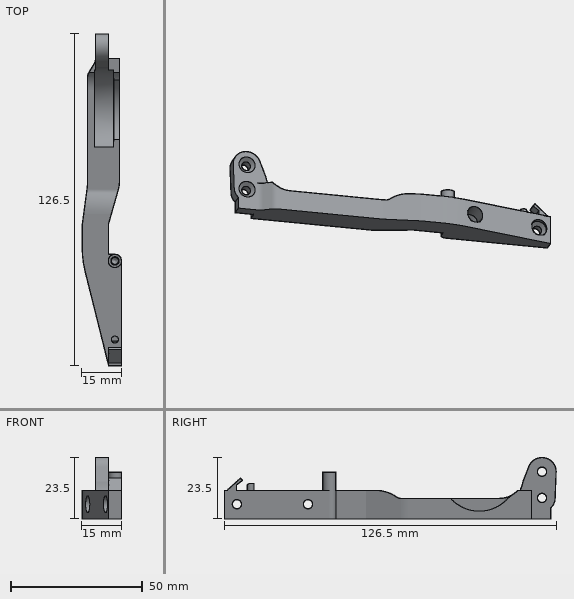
import cadquery as cq
import math

LENGTH = 126.5
WIDTH = 15.0
BODY_HEIGHT = 11.0
WAIST_HEIGHT = 8.0
TOTAL_HEIGHT = 23.5
TIP_WIDTH = 4.9
TIP_X = WIDTH - TIP_WIDTH
CLEARANCE = 1.3

FOOT_END_Y = 124.5
SHOULDER_Y = 117.1
REAR_LEFT_X = 2.0
REAR_RIGHT_X = 14.3
SHOULDER_SLANT_START_Y = 115.9
SHOULDER_SLANT_END_Y = 110.8
SHOULDER_FILLET = 3.8
LEFT_KINK_Y = 68.5
LEFT_BULGE_Y = 53.5
TAPER_START_Y = 40.5
TAPER_BLEND = 38.0
LEFT_KINK_BLEND = 17.7
NOTCH_BEND_Y = 54.0
RIGHT_KINK_Y = 68.7
KINK_BLEND = 10.1

LUG_X = 5.0
LUG_THICKNESS = 5.0
LUG_RADIUS = 5.5
LUG_FOOT_RADIUS = 5.0
LUG_EDGE_Z = 14.2
SCREW_Y = LENGTH - LUG_RADIUS
UPPER_SCREW_Z = TOTAL_HEIGHT - LUG_RADIUS
SCREW_SPACING = 10.0
LOWER_SCREW_Z = UPPER_SCREW_Z - SCREW_SPACING

SCREW_DIAMETER = 3.4
HEAD_DIAMETER = 6.3
ARM_SCREW_Z = 5.7
ARM_SCREW_YS = (4.8, 31.9)
ARM_SEAT_X = 10.8

WAIST_REAR_Y = 105.0
REAR_RAMP_LENGTH = 6.8
WAIST_FRONT_Y = 67.2
FRONT_FILLET_LENGTH = 1.5
FRONT_RAMP_END_Y = 57.8

WHEEL_Y = 97.1
WHEEL_Z = 17.7
WHEEL_RADIUS = 17.0
WHEEL_LEFT_X = 4.7
WHEEL_RIGHT_X = 11.9
SCALLOP_RADIUS = 14.7
RIM_RADIUS = 15.0
RIM_WIDTH = 0.4
SCALLOP_X = WHEEL_RIGHT_X + RIM_WIDTH

PIN_DIAMETER = 5.0
PIN_RADIUS = PIN_DIAMETER / 2
PIN_X = WIDTH - PIN_RADIUS
PIN_Y = 40.0
PIN_TOP_Z = 18.0
PIN_BORE = 2.7
PIN_BORE_MOUTH = 3.2
PIN_BORE_DEPTH = 7.0
DRILL_TIP_ANGLE = 118
STOP_DIAMETER = 2.7
STOP_Y = 10.0
STOP_TOP_Z = 13.7
STOP_CHAMFER = 0.8
HOOK_START_Y = 1.0
HOOK_BACK_Y = 4.7
HOOK_UNDERSIDE_Z = 13.0
HOOK_PEAK = (6.2, 15.7)
HOOK_POINT = (7.0, 14.8)


def along_x(start, end):
    """Work plane with local axes Y and Z, and the length to extrude along X."""
    return cq.Workplane("YZ", origin=(start, 0, 0)), end - start


def disc(radius, y, z, start, end):
    """Cylinder along X."""
    plane, length = along_x(start, end)
    return plane.center(y, z).circle(radius).extrude(length)


def slab(points, start, end):
    """Prism along X over an outline of (Y, Z) points."""
    plane, length = along_x(start, end)
    return plane.polyline(points).close().extrude(length)


def arm_block():
    """Full-height arm: the plan outline with its corners blended."""
    notch_y = PIN_Y + PIN_RADIUS
    outline = [
        (TIP_X, 0), (WIDTH, 0), (WIDTH, notch_y), (TIP_X, notch_y),
        (TIP_X, NOTCH_BEND_Y), (REAR_RIGHT_X, RIGHT_KINK_Y), (REAR_RIGHT_X, SHOULDER_Y),
        (LUG_X, SHOULDER_Y), (LUG_X, SHOULDER_SLANT_START_Y), (REAR_LEFT_X, SHOULDER_SLANT_END_Y),
        (REAR_LEFT_X, LEFT_KINK_Y), (0, LEFT_BULGE_Y), (0, TAPER_START_Y),
    ]
    block = cq.Workplane("XY").polyline(outline).close().extrude(BODY_HEIGHT)
    blends = (
        (WIDTH, notch_y, PIN_RADIUS),
        (REAR_RIGHT_X, RIGHT_KINK_Y, KINK_BLEND),
        (LUG_X, SHOULDER_SLANT_START_Y, SHOULDER_FILLET),
        (REAR_LEFT_X, SHOULDER_SLANT_END_Y, SHOULDER_FILLET),
        (REAR_LEFT_X, LEFT_KINK_Y, LEFT_KINK_BLEND),
        (0, LEFT_BULGE_Y, KINK_BLEND),
        (0, TAPER_START_Y, TAPER_BLEND),
    )
    for x, y, radius in blends:
        corner = cq.selectors.NearestToPointSelector((x, y, BODY_HEIGHT / 2))
        block = block.edges("|Z").edges(corner).fillet(radius)
    return block


def waist_cut():
    """Region above the lowered waist, with a round ramp up to the full height at both ends."""
    front_slope = (BODY_HEIGHT - WAIST_HEIGHT) / (WAIST_FRONT_Y - FRONT_RAMP_END_Y)
    blend = (WAIST_FRONT_Y - FRONT_FILLET_LENGTH, WAIST_HEIGHT + FRONT_FILLET_LENGTH * front_slope)
    rear_y = WAIST_REAR_Y + REAR_RAMP_LENGTH
    plane, length = along_x(0, WIDTH)
    return (
        plane.moveTo(FRONT_RAMP_END_Y - CLEARANCE, BODY_HEIGHT)
        .lineTo(FRONT_RAMP_END_Y, BODY_HEIGHT)
        .tangentArcPoint(blend, relative=False)
        .tangentArcPoint((WAIST_FRONT_Y, WAIST_HEIGHT), relative=False)
        .lineTo(WAIST_REAR_Y, WAIST_HEIGHT)
        .tangentArcPoint((rear_y, BODY_HEIGHT), relative=False)
        .lineTo(rear_y, BODY_HEIGHT + CLEARANCE)
        .lineTo(FRONT_RAMP_END_Y - CLEARANCE, BODY_HEIGHT + CLEARANCE)
        .close()
        .extrude(length)
    )


def lug():
    """Upright plate whose sloping front edge runs from its round top down to the wheel pocket."""
    end_x = LUG_X + LUG_THICKNESS
    edge_y = WHEEL_Y + math.sqrt(WHEEL_RADIUS**2 - (WHEEL_Z - LUG_EDGE_Z) ** 2)
    gap_y = SCREW_Y - edge_y
    gap_z = UPPER_SCREW_Z - LUG_EDGE_Z
    reach = math.hypot(gap_y, gap_z)
    angle = math.atan2(gap_z, gap_y) - math.acos(LUG_RADIUS / reach)
    front_top = (SCREW_Y - LUG_RADIUS * math.cos(angle), UPPER_SCREW_Z - LUG_RADIUS * math.sin(angle))

    rear_up = (LUG_RADIUS - LUG_FOOT_RADIUS) / SCREW_SPACING
    rear_across = math.sqrt(1 - rear_up**2)
    rear_top = (SCREW_Y + LUG_RADIUS * rear_across, UPPER_SCREW_Z + LUG_RADIUS * rear_up)
    rear_bottom = (SCREW_Y + LUG_FOOT_RADIUS * rear_across, LOWER_SCREW_Z + LUG_FOOT_RADIUS * rear_up)

    plate = slab(
        [front_top, (edge_y, LUG_EDGE_Z), (WAIST_REAR_Y + REAR_RAMP_LENGTH, BODY_HEIGHT), (SHOULDER_Y, 0),
         (FOOT_END_Y, 0), (FOOT_END_Y, LOWER_SCREW_Z), rear_bottom, rear_top],
        LUG_X, end_x,
    )
    round_top = disc(LUG_RADIUS, SCREW_Y, UPPER_SCREW_Z, LUG_X, end_x)
    round_foot = disc(LUG_FOOT_RADIUS, SCREW_Y, LOWER_SCREW_Z, LUG_X, end_x)
    return plate.union(round_top).union(round_foot)


def screw_hole(y, z, seat_x):
    """Through hole along X with a 90 degree countersink and head clearance on the -X side of the seat."""
    head_radius = HEAD_DIAMETER / 2
    screw_radius = SCREW_DIAMETER / 2
    shank_x = seat_x + head_radius - screw_radius
    return (
        cq.Workplane("XY", origin=(0, y, z))
        .polyline([(-CLEARANCE, 0), (-CLEARANCE, head_radius), (seat_x, head_radius),
                   (shank_x, screw_radius), (WIDTH + CLEARANCE, screw_radius), (WIDTH + CLEARANCE, 0)])
        .close()
        .revolve(360, (0, 0, 0), (1, 0, 0))
    )


def hollow_pin():
    """Pin and the chamfered blind bore in it, as separate solids."""
    pin = cq.Workplane("XY").center(PIN_X, PIN_Y).circle(PIN_RADIUS).extrude(PIN_TOP_Z)
    bore_radius = PIN_BORE / 2
    mouth_radius = PIN_BORE_MOUTH / 2
    tip_depth = PIN_BORE_DEPTH + bore_radius / math.tan(math.radians(DRILL_TIP_ANGLE / 2))
    bore = (
        cq.Workplane("XZ", origin=(PIN_X, PIN_Y, PIN_TOP_Z))
        .polyline([(0, 0), (mouth_radius, 0), (bore_radius, bore_radius - mouth_radius),
                   (bore_radius, -PIN_BORE_DEPTH), (0, -tip_depth)])
        .close()
        .revolve(360, (0, 0, 0), (0, 1, 0))
    )
    return pin, bore


def stop_pin():
    """Short pin with a bevel on the side that faces the hook."""
    radius = STOP_DIAMETER / 2
    front_y = STOP_Y - radius
    pin = cq.Workplane("XY").center(PIN_X, STOP_Y).circle(radius).extrude(STOP_TOP_Z)
    bevel = slab(
        [(front_y, STOP_TOP_Z), (front_y + STOP_CHAMFER, STOP_TOP_Z), (front_y, STOP_TOP_Z - STOP_CHAMFER)],
        TIP_X, WIDTH,
    )
    return pin.cut(bevel)


def hook():
    """Barb that leans back over the tip of the arm."""
    return slab(
        [(HOOK_START_Y, BODY_HEIGHT), HOOK_PEAK, HOOK_POINT, (HOOK_BACK_Y, HOOK_UNDERSIDE_Z),
         (HOOK_BACK_Y, BODY_HEIGHT)],
        TIP_X, WIDTH,
    )


def wheel_recess():
    """Wheel pocket, the narrow ledge beside it and the scallop that opens it through the +X side."""
    pocket = disc(WHEEL_RADIUS, WHEEL_Y, WHEEL_Z, WHEEL_LEFT_X, WHEEL_RIGHT_X)
    ledge = disc(RIM_RADIUS, WHEEL_Y, WHEEL_Z, WHEEL_RIGHT_X, SCALLOP_X)
    scallop = disc(SCALLOP_RADIUS, WHEEL_Y, WHEEL_Z, SCALLOP_X, WIDTH)
    return pocket.union(ledge).union(scallop)


pin, pin_bore = hollow_pin()
result = arm_block().cut(waist_cut()).union(lug())
result = result.cut(wheel_recess())
result = result.union(pin).cut(pin_bore).union(stop_pin()).union(hook())

for screw_z in (UPPER_SCREW_Z, LOWER_SCREW_Z):
    result = result.cut(screw_hole(SCREW_Y, screw_z, LUG_X))
for screw_y in ARM_SCREW_YS:
    result = result.cut(screw_hole(screw_y, ARM_SCREW_Z, ARM_SEAT_X))